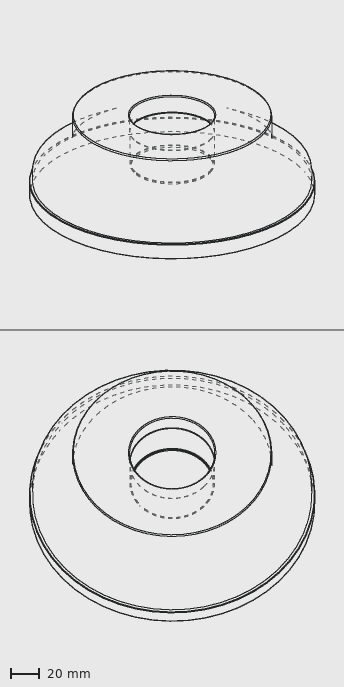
import cadquery as cq
import math

flange_radius = 100.0
flange_height = 11.5
flange_edge_width = 0.2
flange_edge_height = 1.0
flange_top_edge_width = 0.5
flange_top_edge_height = 0.5

shoulder_radius = 97.8
shoulder_base_height = 19.8
shoulder_round = 5.5
cone_angle = math.radians(30)

hub_radius = 69.8
hub_blend_radius = 11.0
total_height = 63.0
hub_edge_width = 0.5
hub_edge_height = 1.2

bore_radius = 29.8
bore_edge = 0.8
upper_bore_depth = 12.8
lower_bore_radius = 29.5
step_taper_height = 0.5
ledge_depth = 38.5
pocket_radius = 28.8
pocket_floor_depth = 39.8


def arc_point(center, radius, angle):
    """Radial and axial position on a circle in the section plane."""
    return (center[0] + radius * math.cos(angle), center[1] + radius * math.sin(angle))


def make_body():
    """Revolve the outer section about the vertical axis."""
    cone_normal = math.pi / 2 - cone_angle
    round_center = (shoulder_radius - shoulder_round, shoulder_base_height)
    cone_bottom = arc_point(round_center, shoulder_round, cone_normal)
    round_middle = arc_point(round_center, shoulder_round, cone_normal / 2)

    blend_end_radius = hub_radius + hub_blend_radius * (1 - math.cos(cone_normal))
    blend_end_height = cone_bottom[1] + (cone_bottom[0] - blend_end_radius) * math.tan(cone_angle)
    blend_center = (
        hub_radius + hub_blend_radius,
        blend_end_height + hub_blend_radius * math.sin(cone_normal),
    )
    blend_middle = arc_point(blend_center, hub_blend_radius, math.pi + cone_normal / 2)

    section = (
        cq.Workplane("XZ")
        .lineTo(flange_radius - flange_edge_width, 0)
        .lineTo(flange_radius, flange_edge_height)
        .lineTo(flange_radius, flange_height - flange_top_edge_height)
        .lineTo(flange_radius - flange_top_edge_width, flange_height)
        .lineTo(shoulder_radius, flange_height)
        .lineTo(shoulder_radius, shoulder_base_height)
        .threePointArc(round_middle, cone_bottom)
        .lineTo(blend_end_radius, blend_end_height)
        .threePointArc(blend_middle, (hub_radius, blend_center[1]))
        .lineTo(hub_radius, total_height - hub_edge_height)
        .lineTo(hub_radius - hub_edge_width, total_height)
        .lineTo(0, total_height)
        .close()
    )
    return section.revolve(360, (0, 0, 0), (0, 1, 0))


def make_bore():
    """Revolve the stepped bore with its chamfered mouth, tapered step and ledge."""
    floor_height = total_height - pocket_floor_depth
    ledge_height = total_height - ledge_depth
    step_height = total_height - upper_bore_depth
    section = (
        cq.Workplane("XZ")
        .moveTo(0, floor_height)
        .lineTo(pocket_radius, floor_height)
        .lineTo(pocket_radius, ledge_height)
        .lineTo(lower_bore_radius, ledge_height)
        .lineTo(lower_bore_radius, step_height - step_taper_height)
        .lineTo(bore_radius, step_height)
        .lineTo(bore_radius, total_height - bore_edge)
        .lineTo(bore_radius + bore_edge, total_height)
        .lineTo(0, total_height)
        .close()
    )
    return section.revolve(360, (0, 0, 0), (0, 1, 0))


result = make_body().cut(make_bore())